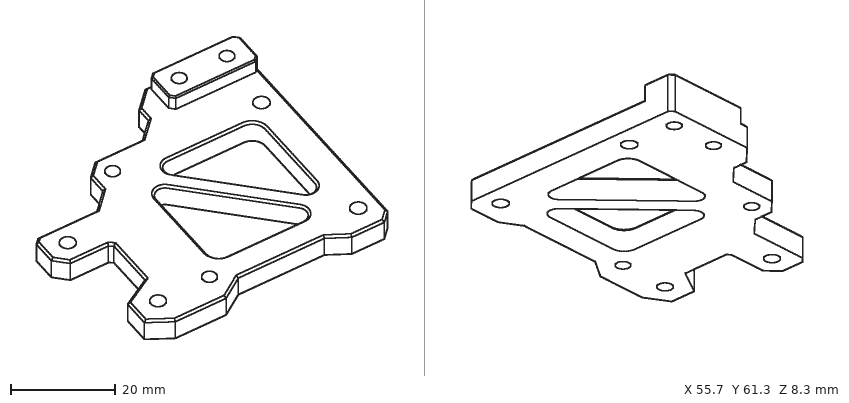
import cadquery as cq
import math

width = 55.7
depth = 61.25
plate_thickness = 5.0
total_height = 8.3
plate_chamfer = 0.5

pad_width = 8.0
pad_length = 20.2
pad_corner = 1.0
pad_chamfer = 0.3

left_side_end = 40.25
upper_step_x = 7.35
upper_step_y = 36.2
neck_x = 11.3
neck_end = 21.5
lower_step_x = 18.55
lower_step_y = 18.5
step_bevel = 3.9

tab_left = 22.55
tab_right = 31.55
tab_small_bevel = 1.1
tab_large_bevel = 2.65
tab_root_y = 11.35
tab_root_bevel = 0.6

front_edge_y = 12.2
ear_front_y = 5.8
ear_left = 46.75
ear_right = 52.7
ear_side_start = 10.9
ear_side_end = 22.55

recess_x = 52.4
recess_start = 27.45
recess_end = 47.1
back_side_x = 55.0
back_corner_bevel = 2.15
side_slope = math.tan(math.radians(60))

pattern_pitch = 34.0
pattern_x = 32.45
pattern_y = 39.75
back_hole_diameter = 3.3
front_hole_diameter = 3.0

pad_hole_diameter = 3.0
pad_hole_x = 4.05
pad_hole_y = (45.4, 56.3)
ear_hole_diameter = 3.2
ear_hole_center = (49.55, 10.95)
tab_hole_diameter = 3.25
tab_hole_center = (26.95, 5.0)

window_size = 27.9
rib_width = 3.7
square_corner_radius = 3.0
sharp_corner_radius = 2.0


def make_plate():
    outline = [
        (0, depth),
        (0, left_side_end),
        (left_side_end - upper_step_y, upper_step_y),
        (upper_step_x, upper_step_y),
        (neck_x, upper_step_y - step_bevel),
        (neck_x, neck_end),
        (neck_x + neck_end - lower_step_y, lower_step_y),
        (lower_step_x, lower_step_y),
        (tab_left, lower_step_y - step_bevel),
        (tab_left, tab_small_bevel),
        (tab_left + tab_small_bevel, 0),
        (tab_right - tab_large_bevel, 0),
        (tab_right, tab_large_bevel),
        (tab_right, tab_root_y),
        (tab_right + tab_root_bevel, front_edge_y),
        (ear_left - (front_edge_y - ear_front_y) / side_slope, front_edge_y),
        (ear_left, ear_front_y),
        (ear_right, ear_front_y),
        (width, ear_side_start),
        (width, ear_side_end),
        (recess_x, recess_start),
        (recess_x, recess_end),
        (back_side_x, recess_end + (back_side_x - recess_x) * side_slope),
        (back_side_x, depth - back_corner_bevel),
        (back_side_x - back_corner_bevel, depth),
    ]
    return cq.Workplane("XY").polyline(outline).close().extrude(plate_thickness)


def cut_window(plate, side):
    """Cut one triangle of the window: side -1 is back left, side 1 is front right."""
    leg = window_size - rib_width / math.sqrt(2)
    corner_x = pattern_x + side * window_size / 2
    corner_y = pattern_y - side * window_size / 2
    cutter = (
        cq.Workplane("XY")
        .moveTo(corner_x, corner_y)
        .lineTo(corner_x - side * leg, corner_y)
        .lineTo(corner_x, corner_y + side * leg)
        .close()
        .extrude(plate_thickness)
    )
    square_corner = cq.selectors.NearestToPointSelector((corner_x, corner_y, plate_thickness / 2))
    cutter = cutter.edges("|Z").edges(square_corner).fillet(square_corner_radius)
    for tip in ((corner_x - side * leg, corner_y), (corner_x, corner_y + side * leg)):
        tip_edge = cq.selectors.NearestToPointSelector((*tip, plate_thickness / 2))
        cutter = cutter.edges("|Z").edges(tip_edge).fillet(sharp_corner_radius)
    return plate.cut(cutter)


def make_pad():
    pad = cq.Workplane("XY").box(pad_width, pad_length, total_height, centered=False)
    pad = pad.edges("|Z").chamfer(pad_corner)
    pad = pad.faces(">Z").edges().chamfer(pad_chamfer)
    return pad.translate((0, depth - pad_length, 0))


def drill(body, centers, diameter):
    cutter = cq.Workplane("XY").pushPoints(centers).circle(diameter / 2).extrude(total_height)
    return body.cut(cutter)


plate = make_plate()
for window_side in (-1, 1):
    plate = cut_window(plate, window_side)
plate = plate.faces(">Z").edges().chamfer(plate_chamfer)

corner_cutter = (
    cq.Workplane("XY")
    .polyline([(0, depth), (0, depth - pad_corner), (pad_corner, depth)])
    .close()
    .extrude(plate_thickness)
)
result = plate.cut(corner_cutter).union(make_pad())

pattern_left = pattern_x - pattern_pitch / 2
pattern_right = pattern_x + pattern_pitch / 2
pattern_front = pattern_y - pattern_pitch / 2
pattern_back = pattern_y + pattern_pitch / 2
result = drill(result, [(pattern_left, pattern_back), (pattern_right, pattern_back)], back_hole_diameter)
result = drill(result, [(pattern_left, pattern_front), (pattern_right, pattern_front)], front_hole_diameter)
result = drill(result, [(pad_hole_x, y) for y in pad_hole_y], pad_hole_diameter)
result = drill(result, [ear_hole_center], ear_hole_diameter)
result = drill(result, [tab_hole_center], tab_hole_diameter)